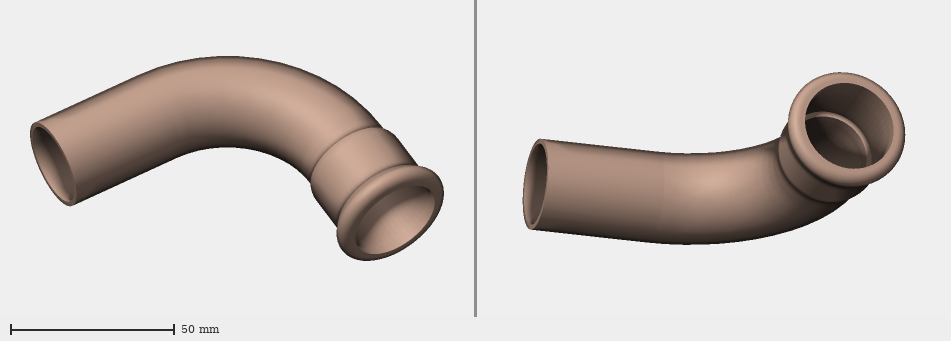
import cadquery as cq
import math

tube_diameter = 28.0
bore_diameter = 25.0
bend_radius = 1.5 * tube_diameter
plain_leg_length = 37.0
socket_leg_length = 4.4

socket_diameter = 31.3
socket_bore_diameter = 28.2
socket_length = 25.6
step_diameter = 30.2
shoulder_length = 2.6

bead_diameter = 37.2
bead_radius = 3.0
cone_angle = math.radians(37)

wall = (tube_diameter - bore_diameter) / 2
socket_radius = socket_diameter / 2
step_radius = step_diameter / 2
socket_start = bend_radius + socket_leg_length
socket_end = socket_start + socket_length
socket_floor = socket_start + wall


def elbow_path():
    """Centre line: plain leg, quarter bend, short leg up to the socket."""
    bend_inset = bend_radius * (1 - math.sin(math.radians(45)))
    return (
        cq.Workplane("XY")
        .moveTo(0, -bend_radius - plain_leg_length)
        .lineTo(0, -bend_radius)
        .threePointArc((bend_inset, -bend_inset), (bend_radius, 0))
        .lineTo(socket_floor, 0)
    )


def swept_rod(diameter):
    """Round rod along the elbow centre line."""
    start = cq.Workplane("XZ", origin=(0, -bend_radius - plain_leg_length, 0))
    return start.circle(diameter / 2).sweep(elbow_path())


def socket_blank():
    """Solid of revolution about X with the outer form of the socket."""
    shoulder_rise = socket_radius - step_radius
    shoulder_radius = (shoulder_length**2 + shoulder_rise**2) / (2 * shoulder_rise)
    shoulder_angle = math.asin(shoulder_length / shoulder_radius)
    shoulder_mid = (
        socket_start + shoulder_length - shoulder_radius * math.sin(shoulder_angle / 2),
        socket_radius - shoulder_radius * (1 - math.cos(shoulder_angle / 2)),
    )

    bead_x = socket_end - bead_radius
    bead_y = bead_diameter / 2 - bead_radius
    cone_top_x = bead_x - bead_radius * math.sin(cone_angle)
    cone_top_y = bead_y + bead_radius * math.cos(cone_angle)
    cone_foot_x = cone_top_x - (cone_top_y - socket_radius) / math.tan(cone_angle)

    return (
        cq.Workplane("XY")
        .moveTo(socket_start, 0)
        .lineTo(socket_start, step_radius)
        .threePointArc(shoulder_mid, (socket_start + shoulder_length, socket_radius))
        .lineTo(cone_foot_x, socket_radius)
        .lineTo(cone_top_x, cone_top_y)
        .threePointArc((bead_x, bead_y + bead_radius), (socket_end, bead_y))
        .lineTo(socket_end, 0)
        .close()
        .revolve(360, (0, 0), (1, 0))
    )


def socket_bore():
    """Plain round bore from the socket floor to the mouth."""
    return (
        cq.Workplane("YZ", origin=(socket_floor, 0, 0))
        .circle(socket_bore_diameter / 2)
        .extrude(socket_end - socket_floor)
    )


def make_fitting():
    """Hollow elbow with its formed press socket."""
    outer = swept_rod(tube_diameter).union(socket_blank())
    return outer.cut(swept_rod(bore_diameter)).cut(socket_bore())


fitting = make_fitting()
result = cq.Compound.makeCompound([fitting.val()])